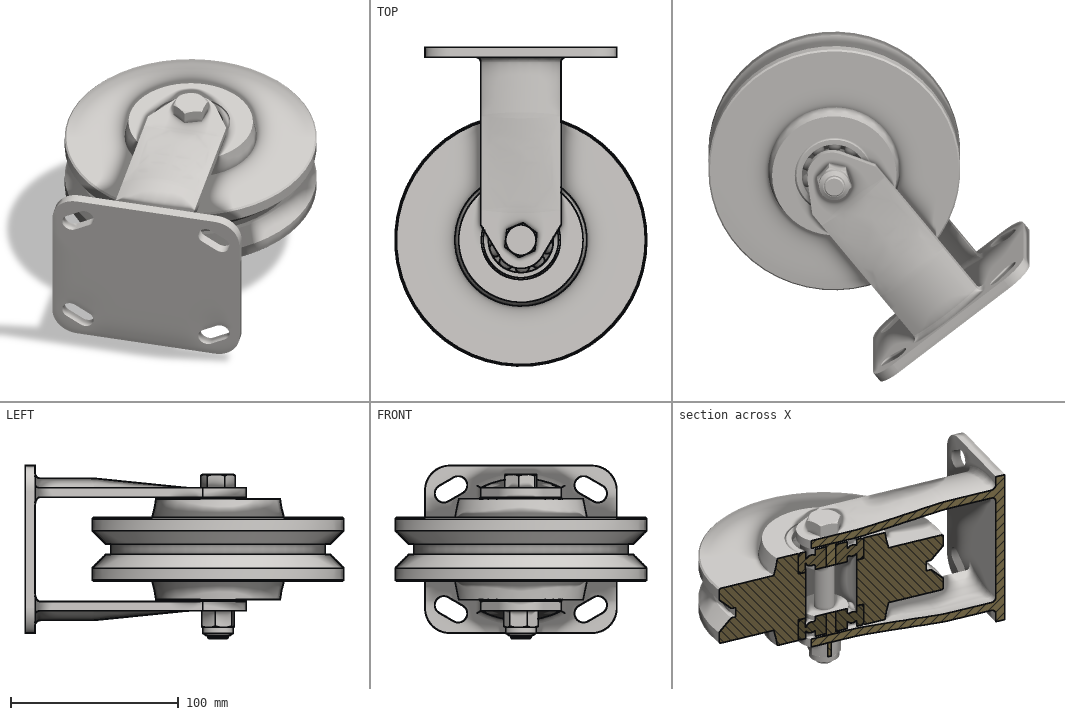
import cadquery as cq
import math


PLATE_WIDTH = 114.4
PLATE_HEIGHT = 100.0
PLATE_THICKNESS = 6.0
PLATE_BACK_Y = 115.0
PLATE_FACE_Y = PLATE_BACK_Y - PLATE_THICKNESS
PLATE_CORNER_RADIUS = 15.0

SLOT_X = 41.6
SLOT_Z = 35.7
SLOT_WIDTH = 10.6
SLOT_CENTRE_DISTANCE = 9.9
SLOT_ANGLE = 30

LEG_HALF_WIDTH = 24.0
LEG_THICKNESS = 5.7
LEG_INNER_Z = 31.0
LEG_OUTER_Z = LEG_INNER_Z + LEG_THICKNESS
LEG_BULGE = 5.7
BULGE_END_Y = 74.3
FLAT_START_Y = 17.9
TAPER_START_Y = 9.1
TIP_RADIUS = 14.8
TIP_CENTRE_Y = -2.0
BEND_CENTRE_REACH = 1.8
BEND_SIDE_REACH = 0.1
WELD_RADIUS = 2.8
WELD_ZONE_MARGIN = 0.2

WHEEL_RADIUS = 75.0
RIM_HALF_WIDTH = 19
RIM_CHAMFER = 1.0
GROOVE_HALF_MOUTH = 11.2
GROOVE_HALF_FLOOR = 3.0
GROOVE_DEPTH = GROOVE_HALF_MOUTH - GROOVE_HALF_FLOOR
GROOVE_ROOT_RADIUS = 64.0
HUB_HALF_WIDTH = 30.0
HUB_BASE_RADIUS = 39.3
HUB_FACE_RADIUS = 37.0

BEARING_RADIUS = 23.5
BEARING_WIDTH = 14.0
BEARING_CHAMFER = 1.1
OUTER_RACE_RADIUS = 19.4
INNER_RACE_RADIUS = 14.5
BEARING_BORE_RADIUS = 10.0
BALL_RADIUS = 4.0
BALL_COUNT = 10
BALL_START_ANGLE = 21
CAGE_THICKNESS = 1.5

FLANGE_RADIUS = 10.8

BOLT_RADIUS = 6.0
BOLT_END_Z = -53.2
BOLT_END_CHAMFER = 0.8
ACROSS_FLATS = 18.0
ACROSS_CORNERS = ACROSS_FLATS / math.cos(math.radians(30))
HEX_CHAMFER_ANGLE = 30
HEAD_HEIGHT = 8.0
HEAD_ANGLE = 23
NUT_HEX_HEIGHT = 9.9
NUT_ANGLE = -9
COLLAR_RADIUS = 9.1
COLLAR_HEIGHT = 3.5
COLLAR_DOME_RADIUS = 6.6
COLLAR_DOME_HEIGHT = 1.5


def build_plate():
    """Rounded plate with four slanted slots, one near each corner."""
    plate = (
        cq.Workplane("XZ", origin=(0, PLATE_BACK_Y, 0))
        .rect(PLATE_WIDTH, PLATE_HEIGHT)
        .extrude(PLATE_THICKNESS)
        .edges("|Y")
        .fillet(PLATE_CORNER_RADIUS)
    )
    for x_side in (-1, 1):
        for z_side in (-1, 1):
            slot = (
                cq.Workplane("XZ", origin=(x_side * SLOT_X, PLATE_BACK_Y, z_side * SLOT_Z))
                .slot2D(SLOT_CENTRE_DISTANCE + SLOT_WIDTH, SLOT_WIDTH, -x_side * z_side * SLOT_ANGLE)
                .extrude(PLATE_THICKNESS)
            )
            plate = plate.cut(slot)
    return plate


def leg_section(side_y, centre_y, bulge):
    """Closed rim of a leg section whose middle is bowed outwards and shifted along Y from its sides."""
    edges = []
    side_points = []
    for z in (LEG_INNER_Z, LEG_OUTER_Z):
        left = cq.Vector(-LEG_HALF_WIDTH, side_y, z)
        right = cq.Vector(LEG_HALF_WIDTH, side_y, z)
        crown = cq.Vector(0, centre_y, z + bulge)
        if bulge or centre_y != side_y:
            edges.append(cq.Edge.makeThreePointArc(left, crown, right))
        else:
            edges.append(cq.Edge.makeLine(left, right))
        side_points.append((left, right))
    inner_points, outer_points = side_points
    edges.insert(1, cq.Edge.makeLine(inner_points[1], outer_points[1]))
    edges.append(cq.Edge.makeLine(outer_points[0], inner_points[0]))
    return cq.Wire.assembleEdges(edges)


def bulge_at(y):
    """Bulge of the sloping stretch of a leg, falling evenly to nothing at its flat end."""
    return LEG_BULGE * (y - FLAT_START_Y) / (BULGE_END_Y - FLAT_START_Y)


def build_leg_tip():
    """Flat end of a leg: tapered sides that run into a rounded tip."""
    rise = TAPER_START_Y - TIP_CENTRE_Y
    sight_angle = math.atan2(rise, LEG_HALF_WIDTH)
    sight_length = math.hypot(LEG_HALF_WIDTH, rise)
    touch_angle = sight_angle - math.acos(TIP_RADIUS / sight_length)
    touch_x = TIP_RADIUS * math.cos(touch_angle)
    touch_y = TIP_CENTRE_Y + TIP_RADIUS * math.sin(touch_angle)
    return (
        cq.Workplane("XY", origin=(0, 0, LEG_INNER_Z))
        .moveTo(-LEG_HALF_WIDTH, TAPER_START_Y)
        .lineTo(-touch_x, touch_y)
        .threePointArc((0, TIP_CENTRE_Y - TIP_RADIUS), (touch_x, touch_y))
        .lineTo(LEG_HALF_WIDTH, TAPER_START_Y)
        .close()
        .extrude(LEG_THICKNESS)
    )


def build_leg():
    """Upper leg: bowed at the plate, sloping through two lens-shaped bends to a flat end."""
    bow_side_y = BULGE_END_Y + BEND_SIDE_REACH
    bow_centre_y = BULGE_END_Y + BEND_CENTRE_REACH
    slope_top_side_y = BULGE_END_Y - BEND_SIDE_REACH
    slope_top_centre_y = BULGE_END_Y - BEND_CENTRE_REACH
    slope_foot_side_y = FLAT_START_Y + BEND_SIDE_REACH
    slope_foot_centre_y = FLAT_START_Y + BEND_CENTRE_REACH
    flat_side_y = FLAT_START_Y - BEND_SIDE_REACH
    flat_centre_y = FLAT_START_Y - BEND_CENTRE_REACH
    sections = [
        leg_section(PLATE_FACE_Y, PLATE_FACE_Y, LEG_BULGE),
        leg_section(bow_side_y, bow_centre_y, LEG_BULGE),
        leg_section(slope_top_side_y, slope_top_centre_y, bulge_at(slope_top_centre_y)),
        leg_section(slope_foot_side_y, slope_foot_centre_y, bulge_at(slope_foot_centre_y)),
        leg_section(flat_side_y, flat_centre_y, 0),
        leg_section(TAPER_START_Y, TAPER_START_Y, 0),
    ]
    return cq.Workplane(cq.Solid.makeLoft(sections, True)).union(build_leg_tip())


def build_frame():
    """Plate and two mirrored legs, welded with fillets and drilled for the bolt."""
    upper_leg = build_leg()
    frame = build_plate().union(upper_leg).union(upper_leg.mirror("XY"))
    zone_x = LEG_HALF_WIDTH + WELD_ZONE_MARGIN
    zone_z = LEG_OUTER_Z + LEG_BULGE + WELD_ZONE_MARGIN
    weld_zone = cq.selectors.BoxSelector(
        (-zone_x, PLATE_FACE_Y - WELD_ZONE_MARGIN, -zone_z),
        (zone_x, PLATE_FACE_Y + WELD_ZONE_MARGIN, zone_z),
        boundingbox=True,
    )
    frame = frame.edges(weld_zone).fillet(WELD_RADIUS)
    bolt_hole = cq.Workplane("XY").circle(BOLT_RADIUS).extrude(LEG_OUTER_Z, both=True)
    return frame.cut(bolt_hole)


def build_wheel():
    """Grooved wheel with conical hubs and a bearing seat in each hub face."""
    seat_floor_z = HUB_HALF_WIDTH - BEARING_WIDTH
    upper_profile = [
        (OUTER_RACE_RADIUS, seat_floor_z),
        (BEARING_RADIUS, seat_floor_z),
        (BEARING_RADIUS, HUB_HALF_WIDTH),
        (HUB_FACE_RADIUS, HUB_HALF_WIDTH),
        (HUB_BASE_RADIUS, RIM_HALF_WIDTH),
        (WHEEL_RADIUS - RIM_CHAMFER, RIM_HALF_WIDTH),
        (WHEEL_RADIUS, RIM_HALF_WIDTH - RIM_CHAMFER),
        (WHEEL_RADIUS, GROOVE_HALF_MOUTH),
        (WHEEL_RADIUS - GROOVE_DEPTH, GROOVE_HALF_FLOOR),
        (GROOVE_ROOT_RADIUS, GROOVE_HALF_FLOOR),
    ]
    lower_profile = [(radius, -z) for radius, z in reversed(upper_profile)]
    return (
        cq.Workplane("XZ")
        .polyline(upper_profile + lower_profile)
        .close()
        .revolve(360, (0, 0, 0), (0, 1, 0))
    )


def build_ring(outer_radius, inner_radius, bottom_z, height):
    """Plain ring about the Z axis."""
    return (
        cq.Workplane("XY", origin=(0, 0, bottom_z))
        .circle(outer_radius)
        .circle(inner_radius)
        .extrude(height)
    )


def build_cage(middle_z):
    """Conical ring that rises from the inner race to the outer race between the balls."""
    half_rise = (OUTER_RACE_RADIUS - INNER_RACE_RADIUS) / 2
    return (
        cq.Workplane("XZ")
        .polyline(
            [
                (INNER_RACE_RADIUS, middle_z - half_rise),
                (OUTER_RACE_RADIUS, middle_z + half_rise),
                (OUTER_RACE_RADIUS, middle_z + half_rise - CAGE_THICKNESS),
                (INNER_RACE_RADIUS, middle_z - half_rise - CAGE_THICKNESS),
            ]
        )
        .close()
        .revolve(360, (0, 0, 0), (0, 1, 0))
    )


def build_bearing():
    """Upper bearing: two races joined by a conical cage and a circle of balls half sunk in the races."""
    bottom_z = HUB_HALF_WIDTH - BEARING_WIDTH
    middle_z = HUB_HALF_WIDTH - BEARING_WIDTH / 2
    outer_race = build_ring(BEARING_RADIUS, OUTER_RACE_RADIUS, bottom_z, BEARING_WIDTH)
    outer_race = outer_race.edges(cq.selectors.RadiusNthSelector(-1)).chamfer(BEARING_CHAMFER)
    inner_race = build_ring(INNER_RACE_RADIUS, BEARING_BORE_RADIUS, bottom_z, BEARING_WIDTH)
    bearing = outer_race.union(inner_race).union(build_cage(middle_z))
    balls = (
        cq.Workplane("XY", origin=(0, 0, middle_z))
        .polarArray((OUTER_RACE_RADIUS + INNER_RACE_RADIUS) / 2, BALL_START_ANGLE, 360, BALL_COUNT)
        .sphere(BALL_RADIUS)
    )
    return bearing.union(balls)


def build_spacer():
    """Upper spacer: a sleeve in the bearing bore, its flange filling the gap below the leg."""
    sleeve_bottom_z = HUB_HALF_WIDTH - BEARING_WIDTH
    sleeve = build_ring(BEARING_BORE_RADIUS, BOLT_RADIUS, sleeve_bottom_z, BEARING_WIDTH)
    flange = build_ring(FLANGE_RADIUS, BOLT_RADIUS, HUB_HALF_WIDTH, LEG_INNER_Z - HUB_HALF_WIDTH)
    return sleeve.union(flange)


def build_hexagon(height, angle):
    """Hexagonal prism standing on Z = 0, its top corners turned off by a cone."""
    prism = (
        cq.Workplane("XY")
        .polygon(6, ACROSS_CORNERS)
        .extrude(height)
        .rotate((0, 0, 0), (0, 0, 1), angle)
    )
    cone_drop = math.tan(math.radians(HEX_CHAMFER_ANGLE)) * (ACROSS_CORNERS - ACROSS_FLATS) / 2
    turned = (
        cq.Workplane("XZ")
        .polyline(
            [
                (0, 0),
                (ACROSS_CORNERS / 2, 0),
                (ACROSS_CORNERS / 2, height - cone_drop),
                (ACROSS_FLATS / 2, height),
                (0, height),
            ]
        )
        .close()
        .revolve(360, (0, 0, 0), (0, 1, 0))
    )
    return prism.intersect(turned)


def build_bolt():
    """Hexagon-head bolt passing down through both legs."""
    shank = (
        cq.Workplane("XY", origin=(0, 0, BOLT_END_Z))
        .circle(BOLT_RADIUS)
        .extrude(LEG_OUTER_Z - BOLT_END_Z)
        .faces("<Z")
        .chamfer(BOLT_END_CHAMFER)
    )
    head = build_hexagon(HEAD_HEIGHT, HEAD_ANGLE).translate((0, 0, LEG_OUTER_Z))
    return shank.union(head)


def build_nut():
    """Lock nut under the lower leg: a hexagon with a domed round collar."""
    hexagon = build_hexagon(NUT_HEX_HEIGHT, NUT_ANGLE).mirror("XY").translate((0, 0, -LEG_OUTER_Z))
    collar_top_z = -LEG_OUTER_Z - NUT_HEX_HEIGHT
    collar = (
        cq.Workplane("XY", origin=(0, 0, collar_top_z))
        .circle(COLLAR_RADIUS)
        .extrude(-COLLAR_HEIGHT - COLLAR_DOME_HEIGHT)
        .faces("<Z")
        .chamfer(COLLAR_DOME_HEIGHT, COLLAR_RADIUS - COLLAR_DOME_RADIUS)
    )
    bolt_hole = cq.Workplane("XY").circle(BOLT_RADIUS).extrude(BOLT_END_Z)
    return hexagon.union(collar).cut(bolt_hole)


frame = build_frame()
wheel = build_wheel()
bolt = build_bolt()
nut = build_nut()

upper_bearing = build_bearing()
upper_spacer = build_spacer()

bearings = []
spacers = []
for bearing, spacer in (
    (upper_bearing, upper_spacer),
    (upper_bearing.mirror("XY"), upper_spacer.mirror("XY")),
):
    bearings.append(bearing.val())
    spacers.append(spacer.val())

result = cq.Compound.makeCompound([frame.val(), wheel.val(), bolt.val(), nut.val(), *bearings, *spacers])